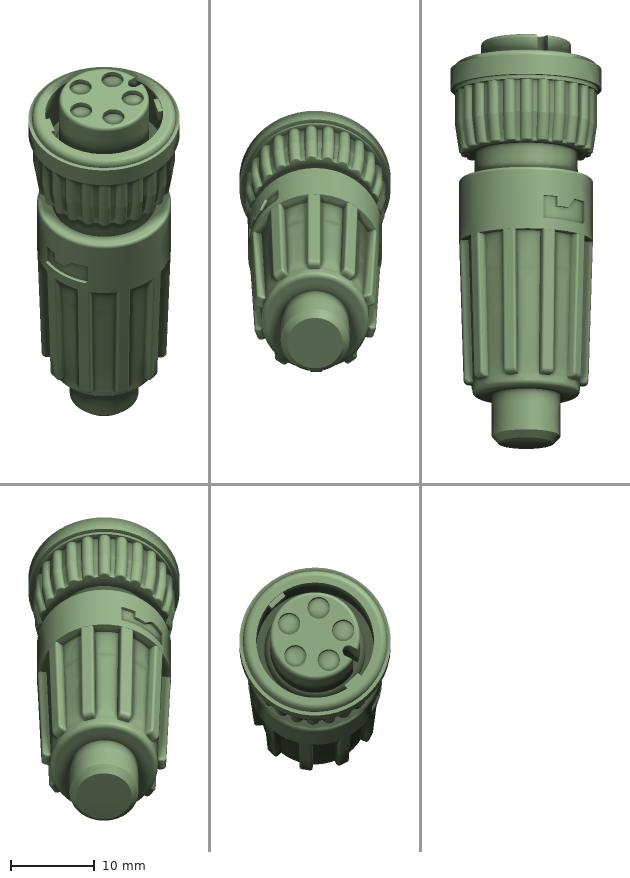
import cadquery as cq


cable_radius = 4.1
cable_chamfer_length = 0.85
cable_tip_radius = 3.3

shell_bottom = 5.8
shell_bottom_radius = 6.4
shell_top_radius = 6.93
shell_fillet = 0.6
rib_count = 10
rib_phase = -91.2
rib_bottom = 7.05
rib_bottom_radius = 7.4
rib_top_radius = 7.95
rib_width = 1.55
rib_edge_fillet = 0.3
rib_end_fillet = 0.65

collar_bottom = 24.5
collar_top = 32.05
collar_radius = 8.0
collar_fillet = 0.4
pocket_count = 2
pocket_angle = 16.0
pocket_depth = 0.365
pocket_half_width = 3.1
pocket_bottom = 25.8
pocket_top = 28.6
pocket_corner = 0.3
notch_bottom = 27.4
notch_left = -1.35
notch_right = 0.1
notch_slope_end = 1.1

neck_bottom_radius = 6.25
neck_top_radius = 6.1

ring_bottom = 35.3
grip_bend = 38.6
core_bend = 38.75
grip_top = 42.62
flange_bottom = 43.05
flange_top = 45.45
ring_top = 46.25
flange_radius = 9.0
band_radius = 8.6
bore_radius = 7.0
bore_floor = 40.75
grip_core_radius = 7.9
grip_crest_radius = 8.45
grip_taper = 0.5
grip_rod_radius = 0.8
grip_count = 24
grip_phase = -96.6
grip_end_fillet = 0.2

lug_count = 2
lug_angle = 68.0
lug_width = 2.25
lug_reach = 6.4
lug_top = 46.05
lug_height = 1.45
lug_root_radius = (bore_radius + flange_radius) / 2

plug_radius = 5.35
plug_top = 48.75
plug_fillet = 0.45
shoulder_radius = 6.05
shoulder_fillet = shoulder_radius - plug_radius
shoulder_top = bore_floor + shoulder_fillet
contact_count = 5
contact_phase = -90.0
contact_radius = 1.3
contact_pitch_radius = 3.4
contact_depth = 0.75
key_half_width = 0.7
key_centre = 4.4


def turned(profile):
    """Solid of revolution from (radius, Z) points."""
    return cq.Workplane("XZ").polyline(profile).close().revolve(360, (0, 0, 0), (0, 1, 0))


def disc(radius, bottom, top):
    return cq.Workplane("XY").workplane(offset=bottom).circle(radius).extrude(top - bottom)


def around(shape, count, phase):
    """Copies of a shape evenly spaced about Z, the first turned by the phase angle."""
    return [shape.rotate((0, 0, 0), (0, 0, 1), phase + i * 360 / count) for i in range(count)]


def make_cable():
    return turned([
        (0, 0),
        (cable_tip_radius, 0),
        (cable_radius, cable_chamfer_length),
        (cable_radius, shell_bottom),
        (0, shell_bottom),
    ])


def make_shell():
    shell = turned([
        (0, shell_bottom),
        (shell_bottom_radius, shell_bottom),
        (shell_top_radius, collar_bottom),
        (0, collar_bottom),
    ]).faces("<Z").edges().fillet(shell_fillet)
    root_radius = shell_bottom_radius / 2
    rib = (
        cq.Workplane("XZ")
        .polyline([
            (root_radius, rib_bottom),
            (rib_bottom_radius, rib_bottom),
            (rib_top_radius, collar_bottom),
            (root_radius, collar_bottom),
        ])
        .close()
        .extrude(rib_width / 2, both=True)
    )
    rib = rib.edges("<Z").edges(">X").fillet(rib_end_fillet)
    rib = rib.faces("|Y").edges("not(<X or >Z)").fillet(rib_edge_fillet)
    for copy in around(rib, rib_count, rib_phase):
        shell = shell.union(copy)
    return shell


def make_pocket():
    """Latch pocket cutter on the -Y side: a notched outline kept outside the pocket floor."""
    outline = [
        (-pocket_half_width, pocket_bottom),
        (pocket_half_width - pocket_corner, pocket_bottom),
        (pocket_half_width, pocket_bottom + pocket_corner),
        (pocket_half_width, pocket_top),
        (notch_slope_end, pocket_top),
        (notch_right, notch_bottom),
        (notch_left, notch_bottom),
        (notch_left, pocket_top),
        (-pocket_half_width, pocket_top),
    ]
    prism = cq.Workplane("XZ").polyline(outline).close().extrude(2 * collar_radius)
    return prism.cut(disc(collar_radius - pocket_depth, collar_bottom, collar_top))


def make_collar():
    collar = disc(collar_radius, collar_bottom, collar_top)
    collar = collar.faces(">Z").edges().fillet(collar_fillet)
    for pocket in around(make_pocket(), pocket_count, pocket_angle):
        collar = collar.cut(pocket)
    return collar


def make_neck():
    return turned([
        (0, collar_top),
        (neck_bottom_radius, collar_top),
        (neck_top_radius, ring_bottom),
        (0, ring_bottom),
    ])


def make_grip_rod():
    """Round grip rib: upright above the bend, leaning inwards below it."""
    centre = grip_crest_radius - grip_rod_radius
    upright = disc(grip_rod_radius, grip_bend, grip_top).translate((centre, 0, 0))
    leaning = (
        cq.Workplane("XY", origin=(0, 0, ring_bottom))
        .center(centre - grip_taper, 0)
        .circle(grip_rod_radius)
        .workplane(offset=grip_bend - ring_bottom)
        .center(grip_taper, 0)
        .circle(grip_rod_radius)
        .loft(ruled=True)
        .faces("<Z")
        .edges()
        .fillet(grip_end_fillet)
    )
    return upright.union(leaning)


def make_lug():
    return (
        cq.Workplane("XY", origin=(0, 0, lug_top - lug_height))
        .center((lug_reach + lug_root_radius) / 2, 0)
        .rect(lug_root_radius - lug_reach, lug_width)
        .extrude(lug_height)
    )


def make_ring():
    ring = turned([
        (0, ring_bottom),
        (grip_core_radius - grip_taper, ring_bottom),
        (grip_core_radius, core_bend),
        (grip_core_radius, grip_top),
        (band_radius, grip_top),
        (band_radius, flange_bottom),
        (flange_radius, flange_bottom),
        (flange_radius, flange_top),
        (0, flange_top),
    ])
    for rod in around(make_grip_rod(), grip_count, grip_phase):
        ring = ring.union(rod)
    cap = disc(band_radius, flange_bottom, ring_top)
    cap = cap.faces(">Z").edges().fillet(ring_top - flange_top)
    ring = ring.union(cap).cut(disc(bore_radius, bore_floor, ring_top))
    for lug in around(make_lug(), lug_count, lug_angle):
        ring = ring.union(lug)
    return ring


def make_insert():
    shoulder = disc(shoulder_radius, ring_bottom, shoulder_top)
    shoulder = shoulder.faces(">Z").edges().fillet(shoulder_fillet)
    plug = disc(plug_radius, ring_bottom, plug_top)
    plug = plug.faces(">Z").edges().fillet(plug_fillet)
    contacts = (
        cq.Workplane("XY", origin=(0, 0, plug_top - contact_depth))
        .polarArray(contact_pitch_radius, contact_phase, 360, contact_count)
        .circle(contact_radius)
        .extrude(contact_depth)
    )
    key_slot = (
        cq.Workplane("XY", origin=(0, 0, shoulder_top))
        .moveTo(-key_half_width, shoulder_radius)
        .lineTo(-key_half_width, key_centre)
        .threePointArc((0, key_centre - key_half_width), (key_half_width, key_centre))
        .lineTo(key_half_width, shoulder_radius)
        .close()
        .extrude(plug_top - shoulder_top)
    )
    return plug.cut(contacts).cut(key_slot).union(shoulder)


result = (
    make_cable()
    .union(make_shell())
    .union(make_collar())
    .union(make_neck())
    .union(make_ring())
    .union(make_insert())
)